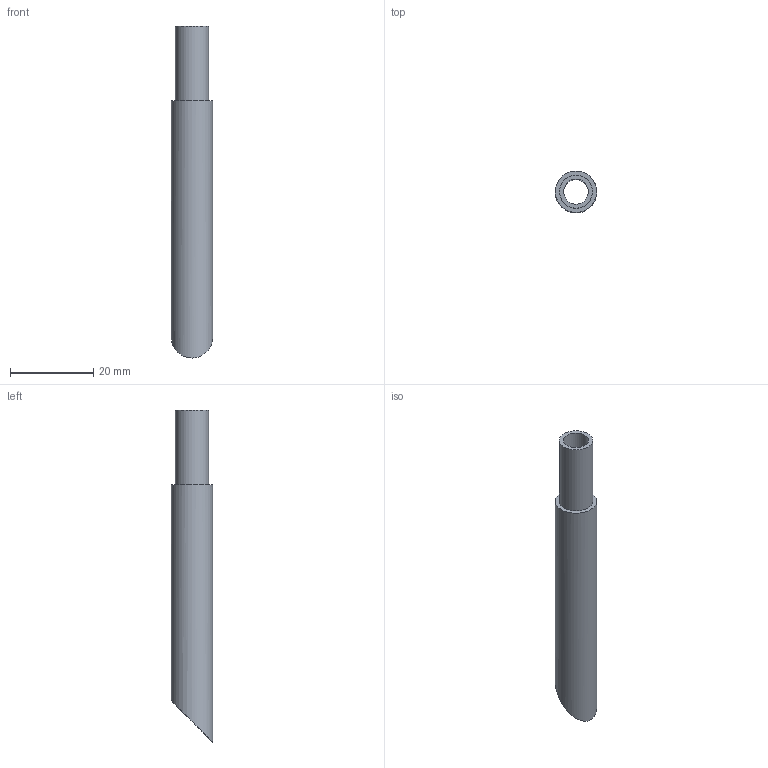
import cadquery as cq
import math

total_length = 80.0
spigot_length = 18.0
body_diameter = 10.0
spigot_diameter = 8.0
bore_diameter = 6.0
tip_angle = 45.0

body_length = total_length - spigot_length
body_radius = body_diameter / 2
cut_height = body_diameter * math.tan(math.radians(tip_angle))


def make_stepped_tube():
    """Tube along Z with a narrower spigot on top and a bore right through."""
    body = cq.Workplane("XY").circle(body_diameter / 2).extrude(body_length)
    spigot = (
        cq.Workplane("XY")
        .workplane(offset=body_length)
        .circle(spigot_diameter / 2)
        .extrude(spigot_length)
    )
    bore = cq.Workplane("XY").circle(bore_diameter / 2).extrude(total_length)
    return body.union(spigot).cut(bore)


def make_tip_cutter():
    """Wedge below the slanted end; the tip is left on the -Y side at Z = 0."""
    return (
        cq.Workplane("YZ")
        .moveTo(-body_radius, 0)
        .lineTo(body_radius, 0)
        .lineTo(body_radius, cut_height)
        .close()
        .extrude(body_radius, both=True)
    )


result = make_stepped_tube().cut(make_tip_cutter())